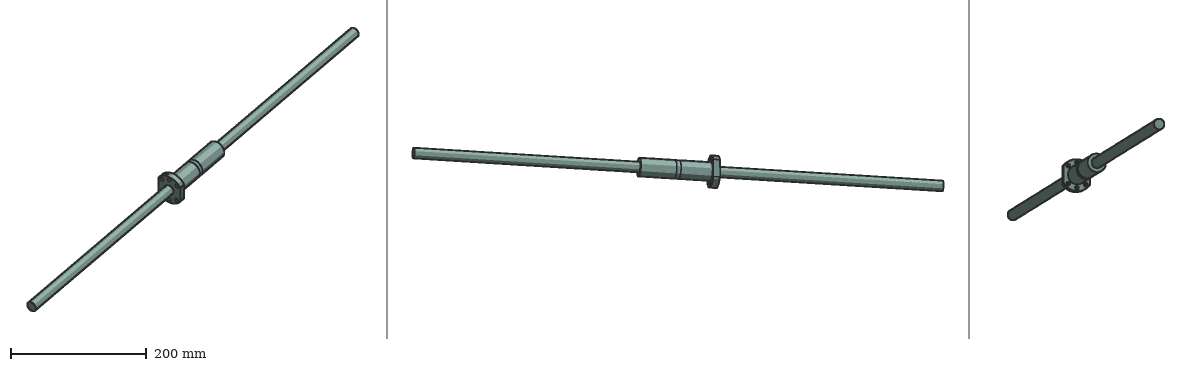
import cadquery as cq

SHAFT_DIAMETER = 16
SHAFT_LENGTH = 800

NUT_LENGTH = 118
NUT_FRONT_Y = -NUT_LENGTH / 2
SLEEVE_DIAMETER = 28
FLANGE_DIAMETER = 48
FLANGE_WIDTH = 40
FLANGE_THICKNESS = 10

GROOVE_DIAMETER = 27.72
GROOVE_WIDTH = 6.5
GROOVE_START = 57.5

BOLT_HOLE_DIAMETER = 5.5
BOLT_CIRCLE_DIAMETER = 38
BOLT_ANGLES = (45, 90, 135, 225, 270, 315)

OIL_HOLE_DIAMETER = 5
OIL_HOLE_ANGLE = (BOLT_ANGLES[0] + BOLT_ANGLES[1]) / 2 - 90


def cylinder_y(diameter, start_y, length):
    """Solid cylinder on the Y axis, running from start_y toward +Y."""
    plane = cq.Workplane("XZ", origin=(0, start_y, 0))
    return plane.circle(diameter / 2).extrude(-length)


def make_shaft():
    return cylinder_y(SHAFT_DIAMETER, -SHAFT_LENGTH / 2, SHAFT_LENGTH)


def make_flange():
    """Round flange with flats on its +X and -X sides, and its bolt holes."""
    flats = cq.Workplane("XY").box(FLANGE_WIDTH, SHAFT_LENGTH, FLANGE_DIAMETER)
    flange = cylinder_y(FLANGE_DIAMETER, NUT_FRONT_Y, FLANGE_THICKNESS).intersect(flats)
    for angle in BOLT_ANGLES:
        hole = cylinder_y(BOLT_HOLE_DIAMETER, NUT_FRONT_Y, FLANGE_THICKNESS)
        hole = hole.translate((BOLT_CIRCLE_DIAMETER / 2, 0, 0))
        flange = flange.cut(hole.rotate((0, 0, 0), (0, 1, 0), angle))
    return flange


def make_groove():
    groove_y = NUT_FRONT_Y + GROOVE_START
    outside = cylinder_y(FLANGE_DIAMETER, groove_y, GROOVE_WIDTH)
    return outside.cut(cylinder_y(GROOVE_DIAMETER, groove_y, GROOVE_WIDTH))


def make_oil_hole():
    hole_y = NUT_FRONT_Y + FLANGE_THICKNESS / 2
    plane = cq.Workplane("XY", origin=(0, hole_y, 0))
    hole = plane.circle(OIL_HOLE_DIAMETER / 2).extrude(FLANGE_DIAMETER)
    return hole.rotate((0, 0, 0), (0, 1, 0), OIL_HOLE_ANGLE)


def make_nut():
    sleeve = cylinder_y(SLEEVE_DIAMETER, NUT_FRONT_Y, NUT_LENGTH).cut(make_groove())
    bore = cylinder_y(SHAFT_DIAMETER, NUT_FRONT_Y, NUT_LENGTH)
    return sleeve.union(make_flange()).cut(bore).cut(make_oil_hole())


shaft = make_shaft()
nut = make_nut()
result = cq.Compound.makeCompound([shaft.val(), nut.val()])